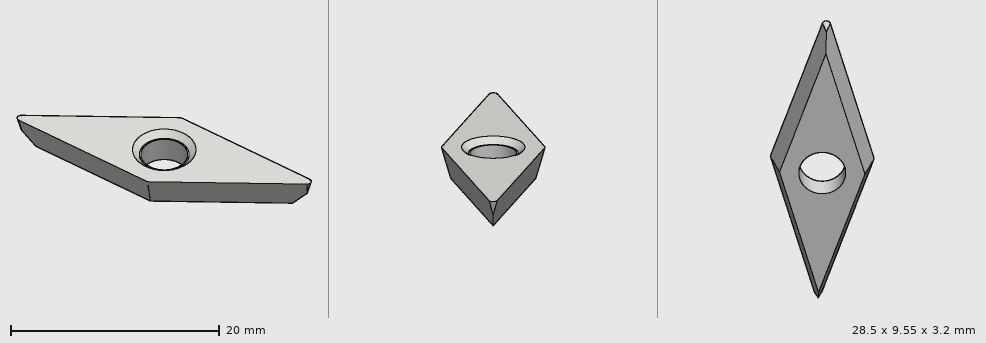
import cadquery as cq
import math

LENGTH = 28.47
WIDTH = 9.55
THICKNESS = 3.2
ACUTE_ANGLE = math.radians(35)
CLEARANCE_DEG = 15.0

HOLE_RADIUS = 2.25
LEDGE_RADIUS = 2.4
SINK_RADIUS = 3.05
SINK_DEPTH = 0.63

half_side = WIDTH / math.sin(ACUTE_ANGLE) / 2
half_shear = WIDTH / math.tan(ACUTE_ANGLE) / 2
acute_x = half_side + half_shear
obtuse_x = half_side - half_shear
half_width = WIDTH / 2

tangent_ratio = 1 / math.tan(ACUTE_ANGLE / 2)
nose_radius = (acute_x - LENGTH / 2) / (tangent_ratio - 1)
nose_depth = nose_radius / math.tan(math.radians(CLEARANCE_DEG))


def tapered_rhombus():
    corners = [
        (acute_x, half_width),
        (-obtuse_x, half_width),
        (-acute_x, -half_width),
        (obtuse_x, -half_width),
    ]
    return cq.Workplane("XY").polyline(corners).close().extrude(-THICKNESS, taper=CLEARANCE_DEG)


def pyramid(base, apex):
    """Solid joining a flat base polygon to an apex point."""
    faces = [cq.Face.makeFromWires(cq.Wire.makePolygon(base, close=True))]
    for start, end in zip(base, base[1:] + base[:1]):
        faces.append(cq.Face.makeFromWires(cq.Wire.makePolygon([start, end, apex], close=True)))
    return cq.Solid.makeSolid(cq.Shell.makeShell(faces))


def corner_waste(corner_x, edge_direction):
    """Material outside the conical rounding of a corner on the +Y edge.

    edge_direction is +1 at the obtuse corner, whose straight edge runs toward +X,
    and -1 at the acute corner, whose straight edge runs toward -X.
    """
    vertex = cq.Vector(corner_x, half_width, 0)
    if edge_direction < 0:
        tangent = nose_radius * tangent_ratio
    else:
        tangent = nose_radius / tangent_ratio
    edge_point = vertex + cq.Vector(edge_direction * tangent, 0, 0)
    flank_point = vertex - cq.Vector(
        tangent * math.cos(ACUTE_ANGLE), tangent * math.sin(ACUTE_ANGLE), 0
    )
    centre = edge_point - cq.Vector(0, nose_radius, 0)
    apex = centre - cq.Vector(0, 0, nose_depth)
    corner = pyramid([centre, edge_point, vertex, flank_point], apex)
    cone = cq.Solid.makeCone(nose_radius, 0, nose_depth, pnt=centre, dir=cq.Vector(0, 0, -1))
    return cq.Workplane(corner).cut(cq.Workplane(cone))


def screw_hole():
    """Conical countersink, narrow ledge and through bore, as a revolved profile."""
    profile = [
        (0, 0),
        (SINK_RADIUS, 0),
        (LEDGE_RADIUS, -SINK_DEPTH),
        (HOLE_RADIUS, -SINK_DEPTH),
        (HOLE_RADIUS, -THICKNESS),
        (0, -THICKNESS),
    ]
    return cq.Workplane("XZ").polyline(profile).close().revolve(360, (0, 0), (0, 1))


body = tapered_rhombus()
for turn in (0, 180):
    for corner_x, edge_direction in ((acute_x, -1), (-obtuse_x, 1)):
        waste = corner_waste(corner_x, edge_direction)
        body = body.cut(waste.rotate((0, 0, 0), (0, 0, 1), turn))

result = body.cut(screw_hole())